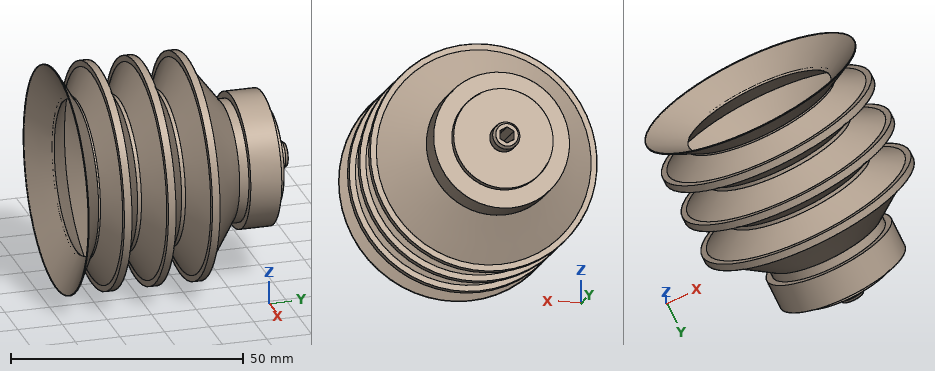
import cadquery as cq
import math


lip_radius = 25.15
band_radius = 25.1
band_edge_radius = 23.75
band_width = 1.7
band_pitch = 9.85
first_band_start = 8.1
band_starts = [first_band_start + i * band_pitch for i in range(3)]
lip_thickness = 0.2
neck_radius = 17.15
neck_width = 0.85
neck_to_band = 3.75
mouth_neck_radius = 17.95
mouth_neck_start = 4.4
mouth_neck_width = 0.4

collar_radius = 27.0 / 2
collar_start = 37.3
ring_radius = 30.0 / 2
ring_start = 39.35
plate_radius = 22.0 / 2
plate_start = 46.3
pin_radius = 6.0 / 2
pin_start = 48.0
pin_end = 51.4
pin_chamfer_width = 0.5
pin_chamfer_length = 0.7

lip_inner_radius = 25.05
groove_radius = 24.15
inner_neck_radius = 16.3
inner_mouth_neck_radius = 17.05
roof_radius = 13.3
roof_start = 36
roof_angle = 15
hole_across_corners = 3.55


def outer_profile():
    """Outside (radius, Y) points from the lip to the pin tip."""
    points = [
        (lip_radius, 0),
        (lip_radius, lip_thickness),
        (mouth_neck_radius, mouth_neck_start),
        (mouth_neck_radius, mouth_neck_start + mouth_neck_width),
    ]
    for start in band_starts:
        if start != first_band_start:
            neck_end = start - neck_to_band
            points += [
                (neck_radius, neck_end - neck_width),
                (neck_radius, neck_end),
            ]
        points += [
            (band_edge_radius, start),
            (band_radius, start),
            (band_radius, start + band_width),
            (band_edge_radius, start + band_width),
        ]
    points += [
        (collar_radius, collar_start),
        (collar_radius, ring_start),
        (ring_radius, ring_start),
        (ring_radius, plate_start),
        (plate_radius, plate_start),
        (plate_radius, pin_start),
        (pin_radius, pin_start),
        (pin_radius, pin_end - pin_chamfer_length),
        (pin_radius - pin_chamfer_width, pin_end),
    ]
    return points


def cavity_profile():
    """Inside (radius, Y) points from the lip to the tip of the roof."""
    points = [
        (lip_inner_radius, 0),
        (inner_mouth_neck_radius, mouth_neck_start + mouth_neck_width / 2),
    ]
    for start in band_starts:
        if start != first_band_start:
            neck_middle = start - neck_to_band - neck_width / 2
            points.append((inner_neck_radius, neck_middle))
        points.append((groove_radius, start + band_width / 2))
    points += [
        (roof_radius, roof_start),
        (0, roof_start + roof_radius * math.tan(math.radians(roof_angle))),
    ]
    return points


def revolve_about_y(points):
    """Close the profile along the Y axis and turn it into a solid."""
    closed = [(0, points[0][1])] + points
    if points[-1][0] > 0:
        closed.append((0, points[-1][1]))
    return cq.Workplane("XY").polyline(closed).close().revolve(360, (0, 0, 0), (0, 1, 0))


body = revolve_about_y(outer_profile())
cavity = revolve_about_y(cavity_profile())

passage = (
    cq.Workplane("XZ")
    .transformed(rotate=(0, 0, 90))
    .polygon(6, hole_across_corners)
    .extrude(-pin_end)
)

result = body.cut(cavity).cut(passage)